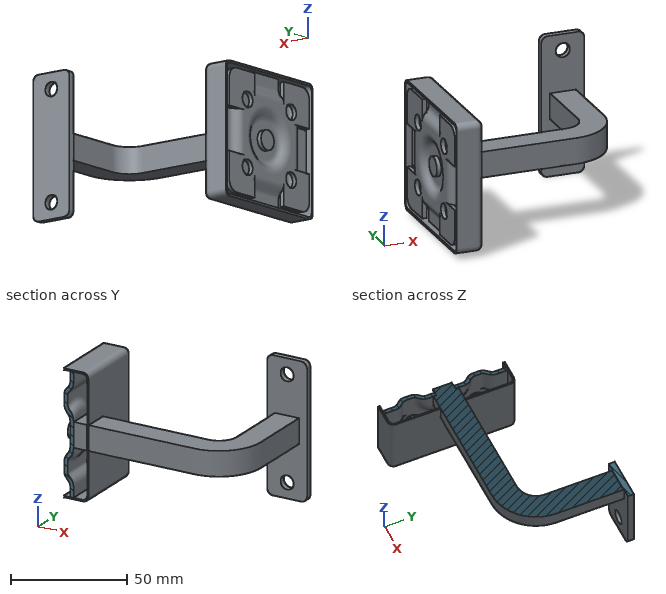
import cadquery as cq
import math


OVERALL_X = 90.0
OVERALL_Y = 80.0

COVER_SIDE = 60.0
COVER_DEPTH = 12.4
COVER_WALL = 1.0
COVER_ROUND = 3.0
CAVITY_SIDE = COVER_SIDE - 2 * COVER_WALL
CAVITY_DEPTH = COVER_DEPTH - COVER_WALL
CAVITY_ROUND = COVER_ROUND - COVER_WALL

PLATE_SIDE = 55.1
PLATE_THICKNESS = 2.0
PLATE_CORNER = 5.0
PRESS_DEPTH = 3.0
SCREW_DIAMETER = 7.0
SCREW_SPACING = 30.0

DISH_RADIUS = 15.0
DISH_MIDDLE_RADIUS = 11.0
DISH_FLOOR_RADIUS = 8.5
DISH_RIM_BEND = DISH_RADIUS - DISH_MIDDLE_RADIUS
DISH_FLOOR_BEND = DISH_MIDDLE_RADIUS - DISH_FLOOR_RADIUS
DISH_SLOPE = 2 * math.atan(PRESS_DEPTH / (DISH_RIM_BEND + DISH_FLOOR_BEND))

TAB_WIDTH = 20.0
TAB_START = 17.7
TAB_RIM_BEND = 2.8
TAB_FLOOR_BEND = 2.2
TAB_SLOPE = math.radians(40)
TAB_END = CAVITY_SIDE / 2

SHORTEST_FLANK = 0.001

SADDLE_WIDTH = 20.0
SADDLE_HEIGHT = 65.0
SADDLE_THICKNESS = 3.0
SADDLE_CORNER = 3.0
SADDLE_HOLE_DIAMETER = 6.5
SADDLE_HOLE_SPACING = 50.0
SADDLE_X = OVERALL_X - SADDLE_WIDTH / 2
SADDLE_BACK_Y = OVERALL_Y - COVER_SIDE / 2
SADDLE_FRONT_Y = SADDLE_BACK_Y - SADDLE_THICKNESS

ARM_SIDE = 12.0
ARM_INNER_BEND = 9.0
ARM_AXIS_BEND = ARM_INNER_BEND + ARM_SIDE / 2
ARM_START_X = PRESS_DEPTH + PLATE_THICKNESS
RIVET_DIAMETER = 9.0
RIVET_PROJECTION = 2.0


def block_from_rim(side, depth, corner):
    """Square block running in +X from the plane X = 0, with rounded corners."""
    return cq.Workplane("YZ").rect(side, side).extrude(depth).edges("|X").fillet(corner)


def arm_section(start_x):
    """Square section of the arm in the plane X = start_x."""
    return cq.Workplane("YZ").workplane(offset=start_x).rect(ARM_SIDE, ARM_SIDE)


def make_cover():
    outer = block_from_rim(COVER_SIDE, COVER_DEPTH, COVER_ROUND).faces(">X").edges().fillet(COVER_ROUND)
    cavity = block_from_rim(CAVITY_SIDE, CAVITY_DEPTH, CAVITY_ROUND)
    cavity = cavity.faces(">X").edges().fillet(CAVITY_ROUND)
    arm_opening = arm_section(0).extrude(COVER_DEPTH)
    return outer.cut(cavity).cut(arm_opening)


def pressed_profile(start, end, rim_bend, floor_bend, slope):
    """Section in the XY plane of sheet stepping back by PRESS_DEPTH on its way from Y = start to Y = end.

    rim_bend and floor_bend are the Y lengths of the two opposite bends on the front face;
    a straight flank at the angle `slope` joins them where they do not make up the whole depth.
    """
    toward = math.copysign(1, end - start)
    rim_radius = rim_bend / math.sin(slope)
    floor_radius = floor_bend / math.sin(slope)
    flank_depth = PRESS_DEPTH - (rim_bend + floor_bend) * math.tan(slope / 2)
    flank_run = flank_depth / math.tan(slope)
    has_flank = flank_depth > SHORTEST_FLANK
    floor_y = start + toward * (rim_bend + flank_run + floor_bend)

    def on_rim_bend(angle, inset):
        radius = rim_radius - inset
        return rim_radius - radius * math.cos(angle), start + toward * radius * math.sin(angle)

    def on_floor_bend(angle, inset):
        radius = floor_radius + inset
        center_x = PRESS_DEPTH - floor_radius
        return center_x + radius * math.cos(angle), floor_y - toward * radius * math.sin(angle)

    front, back = 0, PLATE_THICKNESS
    section = cq.Workplane("XY").moveTo(*on_rim_bend(0, front))
    section = section.threePointArc(on_rim_bend(slope / 2, front), on_rim_bend(slope, front))
    if has_flank:
        section = section.lineTo(*on_floor_bend(slope, front))
    section = section.threePointArc(on_floor_bend(slope / 2, front), on_floor_bend(0, front))
    section = section.lineTo(PRESS_DEPTH, end)
    section = section.lineTo(PRESS_DEPTH + PLATE_THICKNESS, end)
    section = section.lineTo(*on_floor_bend(0, back))
    section = section.threePointArc(on_floor_bend(slope / 2, back), on_floor_bend(slope, back))
    if has_flank:
        section = section.lineTo(*on_rim_bend(slope, back))
    section = section.threePointArc(on_rim_bend(slope / 2, back), on_rim_bend(0, back))
    return section.close()


def make_dish():
    section = pressed_profile(DISH_RADIUS, 0, DISH_RIM_BEND, DISH_FLOOR_BEND, DISH_SLOPE)
    return section.revolve(360, (0, 0, 0), (1, 0, 0))


def make_tab():
    section = pressed_profile(TAB_START, TAB_END, TAB_RIM_BEND, TAB_FLOOR_BEND, TAB_SLOPE)
    return section.extrude(TAB_WIDTH / 2, both=True)


def make_fixing_plate():
    plate = block_from_rim(PLATE_SIDE, PLATE_THICKNESS, PLATE_CORNER)
    plate = plate.cut(cq.Workplane("YZ").circle(DISH_RADIUS).extrude(PLATE_THICKNESS))
    plate = plate.union(make_dish())

    notch_length = TAB_END - TAB_START
    notch = cq.Workplane("YZ").center(TAB_START + notch_length / 2, 0)
    notch = notch.rect(notch_length, TAB_WIDTH).extrude(PLATE_THICKNESS)
    tab = make_tab()
    for quarter in range(4):
        turn = 90 * quarter
        plate = plate.cut(notch.rotate((0, 0, 0), (1, 0, 0), turn))
        plate = plate.union(tab.rotate((0, 0, 0), (1, 0, 0), turn))

    screw_holes = cq.Workplane("YZ").rect(SCREW_SPACING, SCREW_SPACING, forConstruction=True).vertices()
    screw_holes = screw_holes.circle(SCREW_DIAMETER / 2).extrude(PLATE_THICKNESS)
    rivet_hole = cq.Workplane("YZ").circle(RIVET_DIAMETER / 2).extrude(ARM_START_X)
    return plate.cut(screw_holes).cut(rivet_hole)


def make_arm():
    bend_start_x = SADDLE_X - ARM_AXIS_BEND
    bend_sine = ARM_AXIS_BEND * math.sin(math.pi / 4)
    bend_middle = (bend_start_x + bend_sine, ARM_AXIS_BEND - bend_sine)
    path = cq.Workplane("XY").moveTo(ARM_START_X, 0).lineTo(bend_start_x, 0)
    path = path.threePointArc(bend_middle, (SADDLE_X, ARM_AXIS_BEND)).lineTo(SADDLE_X, SADDLE_FRONT_Y)
    arm = arm_section(ARM_START_X).sweep(path)

    rivet_length = PLATE_THICKNESS + RIVET_PROJECTION
    rivet = cq.Workplane("YZ").workplane(offset=ARM_START_X - rivet_length)
    rivet = rivet.circle(RIVET_DIAMETER / 2).extrude(rivet_length)
    return arm.union(rivet)


def make_saddle():
    saddle = cq.Workplane("XZ", origin=(SADDLE_X, SADDLE_BACK_Y, 0))
    saddle = saddle.rect(SADDLE_WIDTH, SADDLE_HEIGHT).extrude(SADDLE_THICKNESS)
    saddle = saddle.edges("|Y").fillet(SADDLE_CORNER)
    holes = saddle.faces("<Y").workplane(origin=(SADDLE_X, SADDLE_FRONT_Y, 0))
    holes = holes.pushPoints([(0, SADDLE_HOLE_SPACING / 2), (0, -SADDLE_HOLE_SPACING / 2)])
    return holes.hole(SADDLE_HOLE_DIAMETER)


cover = make_cover()
fixing_plate = make_fixing_plate()
arm = make_arm()
saddle = make_saddle()

bodies = [cover, fixing_plate, arm, saddle]
result = cq.Compound.makeCompound([body.solids().val() for body in bodies])